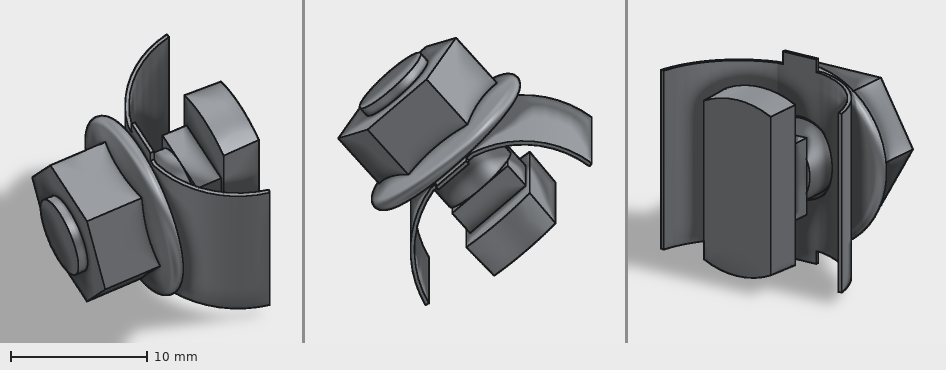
import cadquery as cq
import math


STUD_RADIUS = 3.004
STUD_FRONT = -6.77
SHANK_END = 3.22
NECK_WIDTH = 5.45
NECK_HEIGHT = 2 * STUD_RADIUS
HEAD_THICKNESS = 3.0
HEAD_BACK = 8.22
HEAD_FRONT = HEAD_BACK - HEAD_THICKNESS
HEAD_HALF_WIDTH = 3.11
HEAD_END_RADIUS = 7.0
HEAD_DRAFT = 2.0

NUT_HEIGHT = 6.0
HEX_ACROSS_FLATS = 10.0
HEX_ACROSS_CORNERS = HEX_ACROSS_FLATS / math.cos(math.radians(30))
FLANGE_RADIUS = 7.1
RIM_RADIUS = 0.57
FLANGE_SLOPE = math.radians(20)

CLIP_THICKNESS = 0.3
CLIP_OUTER_RADIUS = 8.3
CLIP_INNER_RADIUS = CLIP_OUTER_RADIUS - CLIP_THICKNESS
CLIP_AXIS_Y = 8.06
CLIP_HEIGHT = 14.0
CLIP_HALF_SPAN = 8.14
CLIP_HOLE_RADIUS = 3.25
TAB_WIDTH = 3.0
TAB_SPAN = 16.0


def along_y(start):
    """Sketch plane at y = start, with local axes -X and Z, extruding towards +Y."""
    return cq.Workplane(cq.Plane(origin=(0, start, 0), xDir=(-1, 0, 0), normal=(0, 1, 0)))


def make_stud():
    shank = along_y(STUD_FRONT).circle(STUD_RADIUS).extrude(SHANK_END - STUD_FRONT)
    neck = along_y(SHANK_END).rect(NECK_WIDTH, NECK_HEIGHT).extrude(HEAD_FRONT - SHANK_END)
    corner_z = math.sqrt(HEAD_END_RADIUS**2 - HEAD_HALF_WIDTH**2)
    head = (
        along_y(HEAD_FRONT)
        .moveTo(-HEAD_HALF_WIDTH, -corner_z)
        .threePointArc((0, -HEAD_END_RADIUS), (HEAD_HALF_WIDTH, -corner_z))
        .lineTo(HEAD_HALF_WIDTH, corner_z)
        .threePointArc((0, HEAD_END_RADIUS), (-HEAD_HALF_WIDTH, corner_z))
        .close()
        .extrude(HEAD_THICKNESS, taper=HEAD_DRAFT)
    )
    return shank.union(neck).union(head)


def make_flange():
    """Washer with a rounded rim and a conical front, revolved about Y."""
    rim_center = FLANGE_RADIUS - RIM_RADIUS
    cone_radius = rim_center + RIM_RADIUS * math.sin(FLANGE_SLOPE)
    cone_y = -RIM_RADIUS * (1 + math.cos(FLANGE_SLOPE))
    bore_y = cone_y - (cone_radius - STUD_RADIUS) * math.tan(FLANGE_SLOPE)
    return (
        cq.Workplane("XY")
        .moveTo(STUD_RADIUS, 0)
        .lineTo(rim_center, 0)
        .threePointArc((FLANGE_RADIUS, -RIM_RADIUS), (cone_radius, cone_y))
        .lineTo(STUD_RADIUS, bore_y)
        .close()
        .revolve(360, (0, 0, 0), (0, 1, 0))
    )


def make_nut():
    hexagon = along_y(-NUT_HEIGHT).polygon(6, HEX_ACROSS_CORNERS).extrude(NUT_HEIGHT)
    bore = along_y(-NUT_HEIGHT).circle(STUD_RADIUS).extrude(NUT_HEIGHT)
    return hexagon.union(make_flange()).cut(bore)


def make_clip():
    """Arched strip with a flat seat, two end tabs and a clearance hole for the stud."""
    tip_angle = math.acos(CLIP_HALF_SPAN / CLIP_OUTER_RADIUS)
    tip_cos = math.cos(tip_angle)
    tip_sin = math.sin(tip_angle)
    inner_tip_x = CLIP_INNER_RADIUS * tip_cos
    outer_tip_y = CLIP_AXIS_Y - CLIP_OUTER_RADIUS * tip_sin
    inner_tip_y = CLIP_AXIS_Y - CLIP_INNER_RADIUS * tip_sin

    outer_flat_x = math.sqrt(CLIP_OUTER_RADIUS**2 - CLIP_AXIS_Y**2)
    inner_flat_x = math.sqrt(CLIP_INNER_RADIUS**2 - (CLIP_AXIS_Y - CLIP_THICKNESS) ** 2)

    outer_mid = CLIP_OUTER_RADIUS * math.sqrt(0.5)
    inner_mid = CLIP_INNER_RADIUS * math.sqrt(0.5)

    strip = (
        cq.Workplane("XY")
        .moveTo(-CLIP_HALF_SPAN, outer_tip_y)
        .threePointArc((-outer_mid, CLIP_AXIS_Y - outer_mid), (-outer_flat_x, 0))
        .lineTo(outer_flat_x, 0)
        .threePointArc((outer_mid, CLIP_AXIS_Y - outer_mid), (CLIP_HALF_SPAN, outer_tip_y))
        .lineTo(inner_tip_x, inner_tip_y)
        .threePointArc((inner_mid, CLIP_AXIS_Y - inner_mid), (inner_flat_x, CLIP_THICKNESS))
        .lineTo(-inner_flat_x, CLIP_THICKNESS)
        .threePointArc((-inner_mid, CLIP_AXIS_Y - inner_mid), (-inner_tip_x, inner_tip_y))
        .close()
        .extrude(CLIP_HEIGHT / 2, both=True)
    )
    tabs = along_y(0).rect(TAB_WIDTH, TAB_SPAN).extrude(CLIP_THICKNESS)
    hole = along_y(0).circle(CLIP_HOLE_RADIUS).extrude(CLIP_AXIS_Y)
    return strip.union(tabs).cut(hole)


stud = make_stud()
nut = make_nut()
clip = make_clip()

result = cq.Compound.makeCompound([stud.val(), nut.val(), clip.val()])